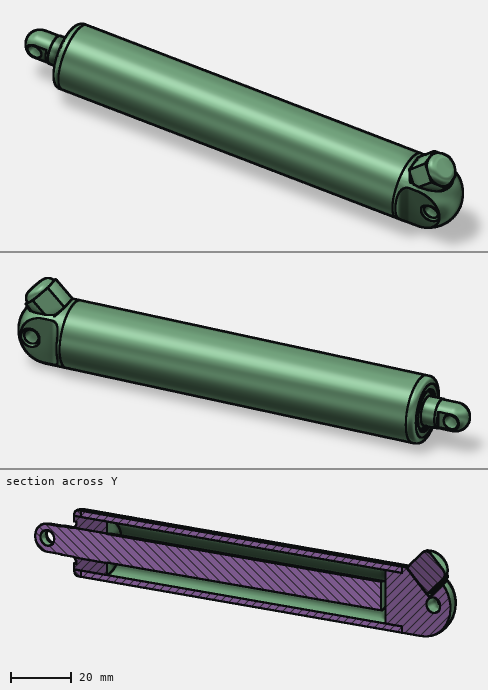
import cadquery as cq
import math


length = 161.0
barrel_radius = 22.9 / 2
bore_radius = 18.2 / 2
front_face_x = 15.1
tube_start_x = 17.7
tube_end_x = 142.2
front_round = 1.8

gland_length = 12.9
gland_recess_radius = 14.3 / 2
lip_base_radius = 6.3
lip_height = 0.8

rod_radius = 10.0 / 2
rod_end_gap = 8.0
rod_end_x = tube_end_x - rod_end_gap
eye_radius = 4.8
eye_shoulder_x = 10.3
eye_flat_half_width = 3.9
eye_flat_end_x = 9.3
pin_diameter = 5.2

spigot_length = 6.5
cap_sphere_x = length - barrel_radius
cap_flat_half_width = 7.9
cap_flat_start_x = 146.5
cap_flat_fillet = 3.2
cap_pin_x = 154.2
pin_chamfer = 0.8
side_cut_clearance = 1.6

plug_angle = 45.0
plug_across_flats = 11.3
plug_length = 8.5
plug_head_round = 2.4
plug_seat_x = 148.0
plug_seat_z = 7.4
seat_radius = 6.8


def rod_cylinder(radius, start_x, end_x):
    """Solid cylinder on the main axis."""
    return cq.Workplane("YZ", origin=(start_x, 0, 0)).circle(radius).extrude(end_x - start_x)


def cross_hole(diameter, x):
    """Pin hole along Y through the whole width."""
    return cq.Workplane("XZ").center(x, 0).circle(diameter / 2).extrude(barrel_radius, both=True)


def plug_plane():
    """Plane of the plug seat, with its normal tilted up and to the rear."""
    angle = math.radians(plug_angle)
    return cq.Plane(
        origin=(plug_seat_x, 0, plug_seat_z),
        xDir=(0, 1, 0),
        normal=(math.cos(angle), 0, math.sin(angle)),
    )


def make_tube():
    tube = rod_cylinder(barrel_radius, tube_start_x, tube_end_x)
    return tube.cut(rod_cylinder(bore_radius, tube_start_x, tube_end_x))


def make_front_ring():
    ring = rod_cylinder(barrel_radius, front_face_x, tube_start_x)
    ring = ring.faces("<X").edges().fillet(front_round)
    return ring.cut(rod_cylinder(bore_radius, front_face_x, tube_start_x))


def make_gland():
    """Rod guide with an annular recess around a tapered wiper lip."""
    recess_x = front_face_x + lip_height
    back_x = front_face_x + gland_length
    profile = [
        (front_face_x, rod_radius),
        (recess_x, lip_base_radius),
        (recess_x, gland_recess_radius),
        (front_face_x, gland_recess_radius),
        (front_face_x, bore_radius),
        (back_x, bore_radius),
        (back_x, rod_radius),
    ]
    return cq.Workplane("XY").polyline(profile).close().revolve(360, (0, 0, 0), (1, 0, 0))


def make_rod():
    """Rod with a round-nosed, flat-sided eye at its front end."""
    shank = rod_cylinder(rod_radius, eye_shoulder_x, rod_end_x)
    eye = rod_cylinder(eye_radius, eye_radius, eye_shoulder_x)
    eye = eye.union(cq.Workplane("XY", origin=(eye_radius, 0, 0)).sphere(eye_radius))
    for side in (1, -1):
        flat_cut = cq.Workplane("XY").box(
            eye_flat_end_x, eye_radius, 2 * barrel_radius, centered=(False, True, True)
        )
        eye = eye.cut(flat_cut.translate((0, side * (eye_flat_half_width + eye_radius / 2), 0)))
    return shank.union(eye).cut(cross_hole(pin_diameter, eye_radius))


def cap_side_cut(side):
    """Removes one side of the cap down to its flat, with a concave fillet at the front."""
    centre_y = cap_flat_half_width + cap_flat_fillet
    outer_y = barrel_radius + side_cut_clearance
    fillet_start_x = cap_flat_start_x - cap_flat_fillet
    reach = cap_flat_fillet * math.sqrt(0.5)
    return (
        cq.Workplane("XY")
        .moveTo(fillet_start_x, side * outer_y)
        .lineTo(fillet_start_x, side * centre_y)
        .threePointArc(
            (cap_flat_start_x - reach, side * (centre_y - reach)),
            (cap_flat_start_x, side * cap_flat_half_width),
        )
        .lineTo(length, side * cap_flat_half_width)
        .lineTo(length, side * outer_y)
        .close()
        .extrude(barrel_radius, both=True)
    )


def chamfered_pin_hole():
    """Pin hole of the rear cap, chamfered where it meets each flat."""
    pin_radius = pin_diameter / 2
    profile = [
        (0, -cap_flat_half_width),
        (pin_radius + pin_chamfer, -cap_flat_half_width),
        (pin_radius, pin_chamfer - cap_flat_half_width),
        (pin_radius, cap_flat_half_width - pin_chamfer),
        (pin_radius + pin_chamfer, cap_flat_half_width),
        (0, cap_flat_half_width),
    ]
    hole = cq.Workplane("XY").polyline(profile).close().revolve(360, (0, 0, 0), (0, 1, 0))
    return hole.translate((cap_pin_x, 0, 0))


def make_rear_cap():
    """Ball-ended cap with a spigot in the tube, side flats, a pin hole and a plug seat."""
    cap = rod_cylinder(barrel_radius, tube_end_x, cap_sphere_x)
    ball = cq.Workplane("XY", origin=(cap_sphere_x, 0, 0)).sphere(barrel_radius)
    cap = cap.union(ball.intersect(rod_cylinder(barrel_radius, cap_sphere_x, length)))
    cap = cap.union(rod_cylinder(bore_radius, tube_end_x - spigot_length, tube_end_x))
    for side in (1, -1):
        cap = cap.cut(cap_side_cut(side))
    cap = cap.cut(chamfered_pin_hole())
    return cap.cut(cq.Workplane(plug_plane()).circle(seat_radius).extrude(2 * barrel_radius))


def make_plug():
    """Hexagonal plug with a rounded head, standing on the cap's seat."""
    across_corners = plug_across_flats / math.cos(math.pi / 6)
    hexagon = cq.Workplane(plug_plane()).polygon(6, across_corners).extrude(plug_length)
    head_radius = plug_across_flats / 2
    crown_radius = head_radius - plug_head_round
    reach = plug_head_round * math.sqrt(0.5)
    seat = plug_plane()
    head_plane = cq.Plane(origin=seat.origin, xDir=seat.xDir, normal=seat.yDir.multiply(-1))
    head = (
        cq.Workplane(head_plane)
        .moveTo(0, plug_length)
        .lineTo(head_radius, plug_length)
        .threePointArc(
            (crown_radius + reach, plug_length + reach),
            (crown_radius, plug_length + plug_head_round),
        )
        .lineTo(0, plug_length + plug_head_round)
        .close()
        .revolve(360, (0, 0, 0), (0, 1, 0))
    )
    return hexagon.union(head)


tube = make_tube()
front_ring = make_front_ring()
gland = make_gland()
rod = make_rod()
rear_cap = make_rear_cap()
plug = make_plug()

result = cq.Compound.makeCompound(
    [tube.val(), front_ring.val(), gland.val(), rod.val(), rear_cap.val(), plug.val()]
)